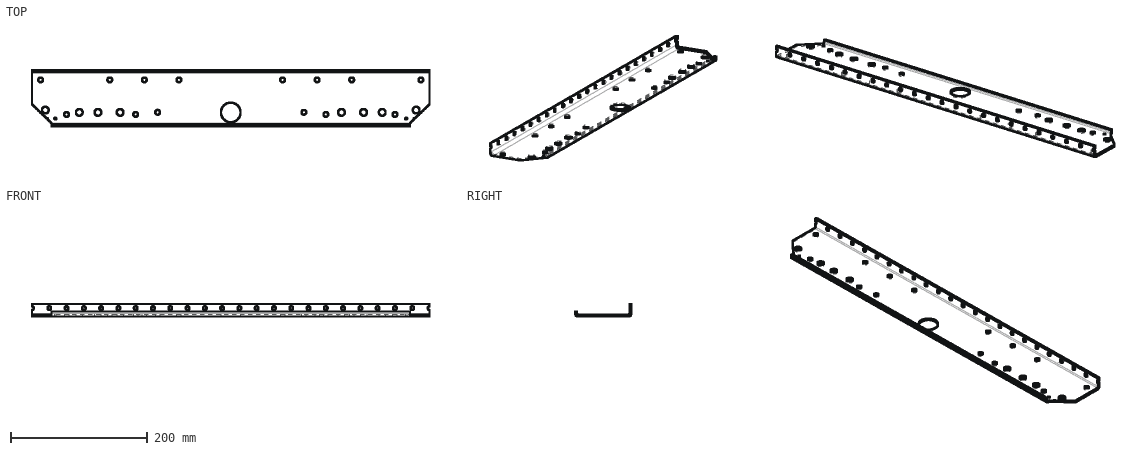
import cadquery as cq
length = 584.2
width = 82.55
back_flange_height = 18.92
front_flange_height = 7.75

thickness = 3.05
inner_bend_radius = 1.58
outer_bend_radius = inner_bend_radius + thickness

corner_cut_length = 28.58
corner_cut_depth = 27.5

flange_hole_diameter = 5.08
small_hole_diameter = 6.71
large_hole_diameter = 9.63
pin_hole_diameter = 2.54
centre_hole_diameter = 28.57

flange_hole_pitch = 25.4
flange_hole_count = round(length / flange_hole_pitch) + 1
flange_hole_drop = 6.35

back_row_offsets = [76.2, 127.0, 177.8, 279.4]
low_row_offsets = [139.7, 241.3]
inner_hole_offset = 107.5
large_row_offsets = [162.7, 195.15, 222.6]
corner_hole_offset = 272.5
pin_hole_offset = 257.8
notch_offset = 270.0

back_row_y = 26.99
low_row_y = -23.8
inner_hole_y = -20.64
large_row_y = -20.8
corner_hole_y = -17.4
pin_hole_y = -29.9
notch_y = -30.5
centre_hole_y = -20.9

half_length = length / 2
back_y = width / 2
front_y = -width / 2


def make_channel():
    """Sheet folded up along the back and front edges, full length."""
    inner_back_y = back_y - thickness
    inner_front_y = front_y + thickness
    floor_back_y = back_y - outer_bend_radius
    floor_front_y = front_y + outer_bend_radius
    return (
        cq.Workplane("YZ", origin=(-half_length, 0, 0))
        .moveTo(front_y, front_flange_height)
        .lineTo(front_y, outer_bend_radius)
        .radiusArc((floor_front_y, 0), -outer_bend_radius)
        .lineTo(floor_back_y, 0)
        .radiusArc((back_y, outer_bend_radius), -outer_bend_radius)
        .lineTo(back_y, back_flange_height)
        .lineTo(inner_back_y, back_flange_height)
        .lineTo(inner_back_y, outer_bend_radius)
        .radiusArc((floor_back_y, thickness), inner_bend_radius)
        .lineTo(floor_front_y, thickness)
        .radiusArc((inner_front_y, outer_bend_radius), inner_bend_radius)
        .lineTo(inner_front_y, front_flange_height)
        .close()
        .extrude(length)
    )


def make_corner_cut(side):
    """Prism that removes one front corner; side is -1 for left, +1 for right."""
    end_x = side * half_length
    flange_end_x = side * (half_length - corner_cut_length)
    bend_start_y = front_y + outer_bend_radius
    return (
        cq.Workplane("XY")
        .moveTo(end_x, bend_start_y + corner_cut_depth)
        .lineTo(flange_end_x, bend_start_y)
        .lineTo(flange_end_x, front_y)
        .lineTo(end_x, front_y)
        .close()
        .extrude(back_flange_height)
    )


def mirrored(offsets, y):
    """Points at plus and minus each offset, all at the same y."""
    return [(side * offset, y) for offset in offsets for side in (-1, 1)]


def make_floor_holes(points, diameter):
    """Vertical cylinders that pass through the floor."""
    return cq.Workplane("XY").pushPoints(points).circle(diameter / 2).extrude(thickness)


def make_flange_holes():
    """Evenly spaced cylinders through the back flange."""
    hole_z = back_flange_height - flange_hole_drop
    points = [(index * flange_hole_pitch - half_length, hole_z) for index in range(flange_hole_count)]
    return (
        cq.Workplane("XZ", origin=(0, back_y, 0))
        .pushPoints(points)
        .circle(flange_hole_diameter / 2)
        .extrude(thickness)
    )


small_hole_points = (
    mirrored(back_row_offsets, back_row_y)
    + mirrored(low_row_offsets, low_row_y)
    + mirrored([inner_hole_offset], inner_hole_y)
)
large_hole_points = (
    mirrored(large_row_offsets, large_row_y)
    + mirrored([corner_hole_offset], corner_hole_y)
)
pin_hole_points = mirrored([pin_hole_offset], pin_hole_y) + mirrored([notch_offset], notch_y)

result = make_channel()
for corner_side in (-1, 1):
    result = result.cut(make_corner_cut(corner_side))
result = result.cut(make_floor_holes(small_hole_points, small_hole_diameter))
result = result.cut(make_floor_holes(large_hole_points, large_hole_diameter))
result = result.cut(make_floor_holes(pin_hole_points, pin_hole_diameter))
result = result.cut(make_floor_holes([(0, centre_hole_y)], centre_hole_diameter))
result = result.cut(make_flange_holes())